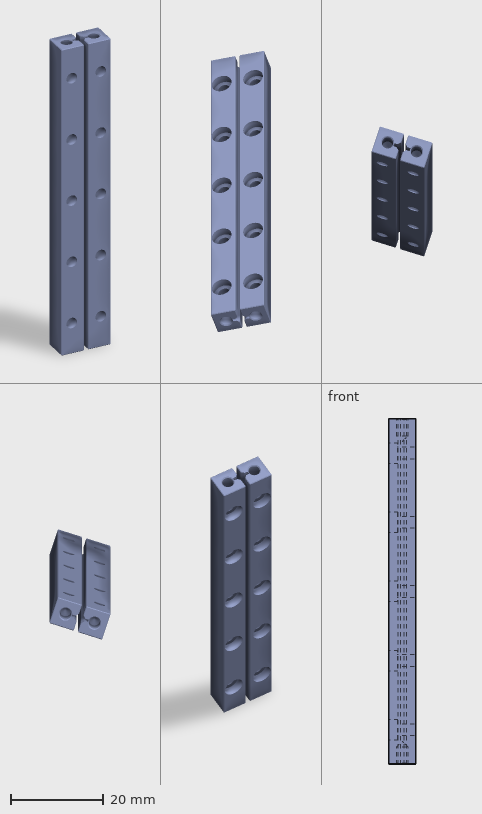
import cadquery as cq
import math

LENGTH = 75.0
WIDTH = 6.0
PAIR_DEPTH = 12.0
RAIL_GAP = 1.0
RAIL_DEPTH = (PAIR_DEPTH - RAIL_GAP) / 2
EDGE_CHAMFER = 0.15

V_HALF_WIDTH = 1.0
RELIEF_WIDTH = 0.7
RELIEF_DEPTH = 1.35

MOUNT_COUNT = 5
MOUNT_PITCH = LENGTH / MOUNT_COUNT
MOUNT_DIAMETER = 2.55
COUNTERBORE_DIAMETER = 4.4
COUNTERBORE_DEPTH = 1.95
MOUNT_INSET = 2.5

END_HOLE_DIAMETER = 2.5
END_HOLE_MOUTH_DIAMETER = 2.9
END_HOLE_DEPTH = 3.75
END_HOLE_INSET = 2.7
DRILL_POINT_ANGLE = 90.0


def rail_blank():
    """Chamfered bar with its outer face at y = 0, its inner face at y = RAIL_DEPTH."""
    bar = cq.Workplane("XY").box(WIDTH, RAIL_DEPTH, LENGTH, centered=(True, False, False))
    return bar.edges().chamfer(EDGE_CHAMFER)


def raceway():
    """V groove and relief slot, running the full length of the inner face."""
    half_slot = RELIEF_WIDTH / 2
    slot_mouth_y = RAIL_DEPTH - (V_HALF_WIDTH - half_slot)
    slot_floor_y = RAIL_DEPTH - RELIEF_DEPTH
    return (
        cq.Workplane("XY")
        .moveTo(-V_HALF_WIDTH, RAIL_DEPTH)
        .lineTo(-half_slot, slot_mouth_y)
        .lineTo(-half_slot, slot_floor_y)
        .lineTo(half_slot, slot_floor_y)
        .lineTo(half_slot, slot_mouth_y)
        .lineTo(V_HALF_WIDTH, RAIL_DEPTH)
        .close()
        .extrude(LENGTH)
    )


def mounting_hole(z):
    """Through hole along X, counterbored from the -X face."""
    section = cq.Workplane("YZ", origin=(-WIDTH / 2, MOUNT_INSET, z))
    through = section.circle(MOUNT_DIAMETER / 2).extrude(WIDTH)
    counterbore = section.circle(COUNTERBORE_DIAMETER / 2).extrude(COUNTERBORE_DEPTH)
    return through.union(counterbore)


def top_end_hole():
    """Countersunk blind hole with a conical drill point, in the upper end."""
    radius = END_HOLE_DIAMETER / 2
    mouth_radius = END_HOLE_MOUTH_DIAMETER / 2
    mouth_depth = mouth_radius - radius
    point_depth = radius / math.tan(math.radians(DRILL_POINT_ANGLE / 2))
    return (
        cq.Workplane("XZ")
        .lineTo(mouth_radius, 0)
        .lineTo(radius, -mouth_depth)
        .lineTo(radius, -END_HOLE_DEPTH)
        .lineTo(0, -END_HOLE_DEPTH - point_depth)
        .close()
        .revolve(360, (0, 0), (0, 1))
        .translate((0, END_HOLE_INSET, LENGTH))
    )


def build_rail():
    """One rail, standing on z = 0 with its outer face at y = 0."""
    rail = rail_blank().cut(raceway())
    for index in range(MOUNT_COUNT):
        rail = rail.cut(mounting_hole((index + 0.5) * MOUNT_PITCH))
    end_hole = top_end_hole()
    bottom_end_hole = end_hole.mirror("XY", (0, 0, LENGTH / 2))
    return rail.cut(end_hole).cut(bottom_end_hole)


rails = []
for facing in (1, -1):
    rail = build_rail()
    if facing < 0:
        rail = rail.mirror("XZ")
    placed = rail.translate((0, -facing * PAIR_DEPTH / 2, -LENGTH / 2))
    rails.append(placed.val())

result = cq.Compound.makeCompound(rails)